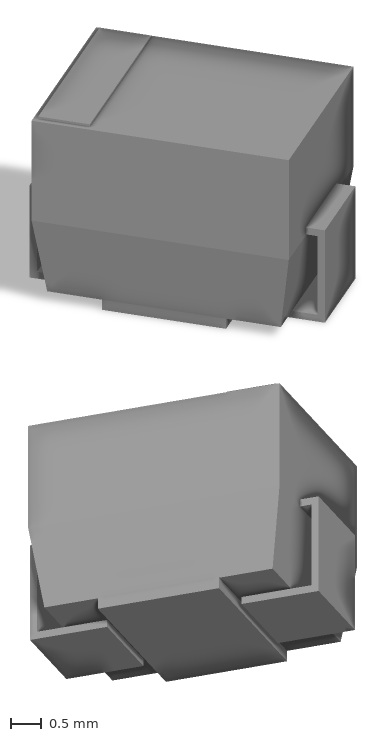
import cadquery as cq

overall_length = 5.05
overall_height = 3.45

housing_length = 4.4
housing_width = 3.4
band_thickness = 0.05
housing_top = overall_height - band_thickness
taper_start_height = 1.56
taper_inset = 0.2
base_length = housing_length - 2 * taper_inset
base_width = housing_width - 2 * taper_inset

standoff_length = 2.12
standoff_height = 0.185

band_length = 0.885
band_margin = 0.085
band_width = housing_width - 2 * band_margin

lead_width = 1.6
lead_thickness = 0.125
lead_height = 1.7
foot_length = 1.35


def make_housing():
    """Molded housing with its standoff, resting on Z = 0."""
    standoff = cq.Workplane("XY").box(
        standoff_length, base_width, standoff_height, centered=(True, True, False)
    )
    lower = (
        cq.Workplane("XY", origin=(0, 0, standoff_height))
        .rect(base_length, base_width)
        .workplane(offset=taper_start_height - standoff_height)
        .rect(housing_length, housing_width)
        .loft(ruled=True)
    )
    upper = (
        cq.Workplane("XY", origin=(0, 0, taper_start_height))
        .rect(housing_length, housing_width)
        .extrude(housing_top - taper_start_height)
    )
    return lower.union(upper).union(standoff)


def make_polarity_band():
    """Thin raised strip beside the -X edge of the top face."""
    center_x = -housing_length / 2 + band_margin + band_length / 2
    return (
        cq.Workplane("XY", origin=(center_x, 0, housing_top))
        .rect(band_length, band_width)
        .extrude(band_thickness)
    )


def make_lead(side):
    """Bent strip on the given side (-1 or 1): arm at the housing, upright and foot."""
    outer = side * overall_length / 2
    inner = outer - side * lead_thickness
    arm_end = side * housing_length / 2
    foot_end = outer - side * foot_length
    arm_bottom = lead_height - lead_thickness
    profile = [
        (arm_end, lead_height),
        (outer, lead_height),
        (outer, 0),
        (foot_end, 0),
        (foot_end, lead_thickness),
        (inner, lead_thickness),
        (inner, arm_bottom),
        (arm_end, arm_bottom),
    ]
    return cq.Workplane("XZ").polyline(profile).close().extrude(lead_width / 2, both=True)


housing = make_housing()
polarity_band = make_polarity_band()
leads = [make_lead(side) for side in (-1, 1)]

result = cq.Compound.makeCompound(
    [housing.val(), polarity_band.val(), *[lead.val() for lead in leads]]
)